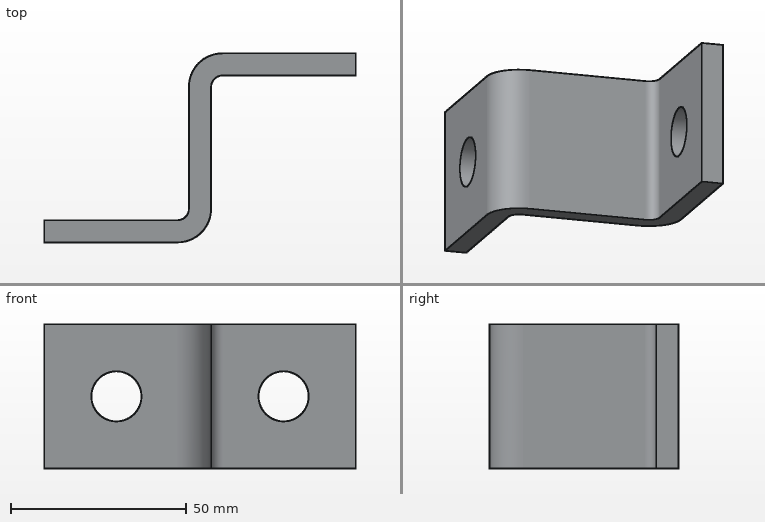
import cadquery as cq

length = 88.9
depth = 53.95
height = 41.2
thickness = 6.4
inner_radius = 3.2
hole_diameter = 14.2
hole_inset = 20.6

outer_radius = inner_radius + thickness
web_left = (length - thickness) / 2
web_right = web_left + thickness


def bent_strip():
    """Z-shaped strip, extruded along Z, with sharp bends."""
    return (
        cq.Workplane("XY")
        .moveTo(0, 0)
        .lineTo(web_right, 0)
        .lineTo(web_right, depth - thickness)
        .lineTo(length, depth - thickness)
        .lineTo(length, depth)
        .lineTo(web_left, depth)
        .lineTo(web_left, thickness)
        .lineTo(0, thickness)
        .close()
        .extrude(height)
    )


def round_edge(body, x, y, radius):
    """Round the vertical edge that passes through (x, y)."""
    edge = cq.selectors.NearestToPointSelector((x, y, height / 2))
    return body.edges("|Z").edges(edge).fillet(radius)


def flange_holes():
    """Cylinders along Y, one through the middle of each flange."""
    return (
        cq.Workplane("XZ")
        .pushPoints([(hole_inset, height / 2), (length - hole_inset, height / 2)])
        .circle(hole_diameter / 2)
        .extrude(-depth)
    )


bracket = bent_strip()

bracket = round_edge(bracket, web_right, 0, outer_radius)
bracket = round_edge(bracket, web_left, thickness, inner_radius)
bracket = round_edge(bracket, web_left, depth, outer_radius)
bracket = round_edge(bracket, web_right, depth - thickness, inner_radius)

result = bracket.cut(flange_holes())